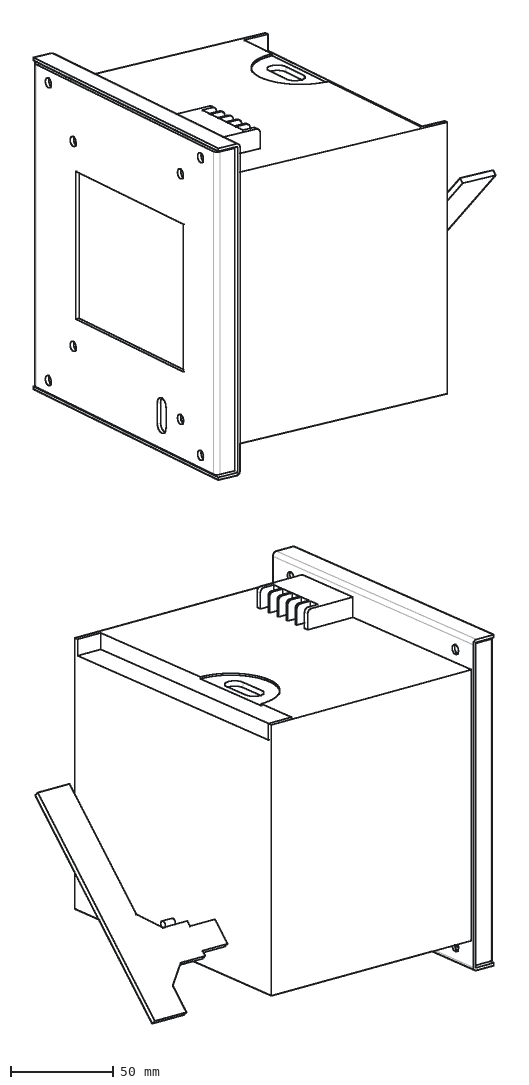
import cadquery as cq


frame_width = 158.0
frame_height = 173.0
frame_back = 13.8
frame_sheet = 1.5
bend_radius = 2.2
frame_inner_bend_radius = bend_radius - frame_sheet
clearance = 0.9
cover_proud = 0.8
cover_sheet = 2.0
cover_width = frame_width - 2 * clearance
cover_height = frame_height - 2 * (frame_sheet + clearance)
cover_back = frame_back - frame_sheet - clearance
cover_inner_bend_radius = bend_radius - cover_sheet

screw_hole_diameter = 5.0
corner_hole_x = 65.0
corner_hole_z = 77.6
corner_holes = [(sx * corner_hole_x, sz * corner_hole_z) for sx in (-1, 1) for sz in (-1, 1)]
left_hole = (-43.8, 53.5)
right_hole = (47.8, 64.0)
display_holes = [(x, sz * z) for x, z in (left_hole, right_hole) for sz in (-1, 1)]
window_width = 92.0
window_height = 77.0
window_x = 4.5
cable_slot_width = 7.5
cable_slot_length = 18.2
cable_slot_x = 31.8
cable_slot_z = -66.8

box_width = 155.5
box_height = 141.7
box_depth = 124.9
box_back = frame_back + box_depth
box_top = box_height / 2
side_wall = 2.5
rear_step_length = 14.5
rear_step_depth = 8.6
rear_step_front = box_back - rear_step_length
dish_x = -27.5
dish_radius = 24.0
dish_depth = 1.0
dish_slot_length = 25.0
dish_slot_width = 10.0
dish_slot_y = 115.9
dish_slot_depth = 2.8

comb_x = 35.8
comb_width = 40.0
comb_length = 28.2
comb_height = 10.6
comb_back = frame_back + comb_length
comb_slot_count = 5
comb_slot_pitch = 7.2
comb_slot_width = 6.0
comb_slot_length = 8.5

stud_diameter = 3.6
stud_length = 6.2
stud_z = -54.8

handle_tilt = 45.0
handle_thickness = 3.0
handle_back = 200.1
bar_length = 130.7
bar_depth = 19.8
bar_x = -16.0
bar_z = -28.8
stem_offset = 35.6
shoulder_width = 40.8
stem_width = 20.0
tip_width = 14.0
stem_start = 169.5
tip_start = 154.3


def block(x_size, y_front, y_back, z_size, x=0.0, z=0.0):
    """Box centred on (x, z) that spans y_front to y_back."""
    middle = (x, (y_front + y_back) / 2, z)
    return cq.Workplane("XY").box(x_size, y_back - y_front, z_size).translate(middle)


def along_y(y_front):
    """Sketch plane at y_front: local x is +X, local y is +Z, extrude(-d) goes toward +Y."""
    return cq.Workplane("XZ", origin=(0, y_front, 0))


def screw_holes(points, y_front, y_back):
    return along_y(y_front).pushPoints(points).circle(screw_hole_diameter / 2).extrude(y_front - y_back)


def cable_slot(y_front, y_back):
    return (
        along_y(y_front)
        .center(cable_slot_x, cable_slot_z)
        .slot2D(cable_slot_length, cable_slot_width, 90)
        .extrude(y_front - y_back)
    )


def make_cover():
    """Flat front sheet with its left and right edges folded back."""
    cover = block(cover_width, 0, cover_back, cover_height).edges("|Z and <Y").fillet(bend_radius)
    inside = block(cover_width - 2 * cover_sheet, cover_sheet, cover_back + cover_sheet, cover_height)
    cover = cover.cut(inside.edges("|Z and <Y").fillet(cover_inner_bend_radius))
    cover = cover.cut(block(window_width, 0, cover_sheet, window_height, window_x))
    cover = cover.cut(screw_holes(corner_holes + display_holes, 0, cover_sheet))
    return cover.cut(cable_slot(0, cover_sheet))


def make_frame():
    """Rear sheet with its top and bottom edges folded forward around the cover."""
    frame = block(frame_width, cover_proud, frame_back, frame_height).edges("|X and >Y").fillet(bend_radius)
    inside = block(frame_width, 0, frame_back - frame_sheet, frame_height - 2 * frame_sheet)
    frame = frame.cut(inside.edges("|X and >Y").fillet(frame_inner_bend_radius))
    sheet_front = frame_back - frame_sheet
    frame = frame.cut(screw_holes(corner_holes, sheet_front, frame_back))
    return frame.cut(cable_slot(sheet_front, frame_back))


def make_box():
    """Housing box with a low step at its rear top edge and a slotted dish in its top."""
    box = block(box_width, frame_back, box_back, box_height)
    step_z = box_top - rear_step_depth / 2
    box = box.cut(block(box_width - 2 * side_wall, rear_step_front, box_back, rear_step_depth, z=step_z))
    top = cq.Workplane("XY", origin=(0, 0, box_top))
    box = box.cut(top.center(dish_x, rear_step_front).circle(dish_radius).extrude(-dish_depth))
    slot = top.center(dish_x, dish_slot_y).slot2D(dish_slot_length, dish_slot_width)
    return box.cut(slot.extrude(-dish_depth - dish_slot_depth))


def make_comb():
    """Terminal block with a rounded rear edge and a row of slots open to the rear."""
    comb_z = box_top + comb_height / 2
    comb = block(comb_width, frame_back, comb_back, comb_height, comb_x, comb_z)
    comb = comb.edges("|X and >Y and >Z").fillet(bend_radius)
    for i in range(comb_slot_count):
        slot_x = comb_x + (i - (comb_slot_count - 1) / 2) * comb_slot_pitch
        slot_front = comb_back - comb_slot_length
        comb = comb.cut(block(comb_slot_width, slot_front, comb_back, comb_height, slot_x, comb_z))
    return comb


def make_housing():
    """Box, frame, comb and rear stud as one solid."""
    stud = along_y(box_back).center(0, stud_z).circle(stud_diameter / 2).extrude(-stud_length)
    return make_box().union(make_frame()).union(make_comb()).union(stud)


def make_handle():
    """T-shaped plate whose stem tip meets the rear face of the housing."""
    bar_front = handle_back - bar_depth
    stem_u = stem_offset - bar_length / 2
    outline = [
        (-bar_length / 2, handle_back),
        (-bar_length / 2, bar_front),
        (stem_u - shoulder_width / 2, bar_front),
        (stem_u - stem_width / 2, stem_start),
        (stem_u - stem_width / 2, tip_start),
        (stem_u - tip_width / 2, tip_start),
        (stem_u - tip_width / 2, box_back),
        (stem_u + tip_width / 2, box_back),
        (stem_u + tip_width / 2, tip_start),
        (stem_u + stem_width / 2, tip_start),
        (stem_u + stem_width / 2, stem_start),
        (stem_u + shoulder_width / 2, bar_front),
        (bar_length / 2, bar_front),
        (bar_length / 2, handle_back),
    ]
    plate = cq.Workplane("XY").polyline(outline).close().extrude(handle_thickness / 2, both=True)
    return plate.rotate((0, 0, 0), (0, 1, 0), -handle_tilt).translate((bar_x, 0, bar_z))


housing = make_housing()
cover = make_cover()
handle = make_handle()
result = cq.Compound.makeCompound([housing.val(), cover.val(), handle.val()])